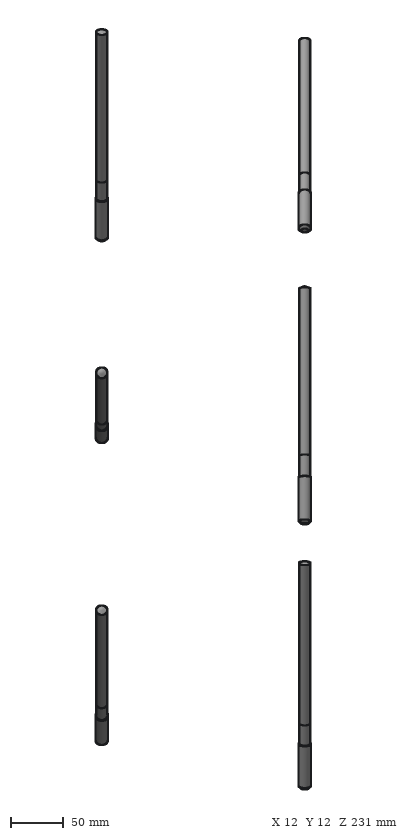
import cadquery as cq

TOTAL_LENGTH = 231.0
SHANK_DIAMETER = 12.0
ROD_DIAMETER = 10.9
SHOULDER_HEIGHT = 45.5
JOINT_HEIGHT = 66.0
END_CHAMFER = 2.8
TIP_HEIGHT = 2.3

shank_radius = SHANK_DIAMETER / 2
rod_radius = ROD_DIAMETER / 2
shoulder_chamfer = shank_radius - rod_radius
end_radius = shank_radius - END_CHAMFER


def revolve_profile(points):
    """Revolve a closed outline of (radius, height) points about Z."""
    return cq.Workplane("XZ").polyline(points).close().revolve(360, (0, 0), (0, 1))


def make_shank():
    """Shank with a tapered lower end and a chamfered shoulder below its neck."""
    return revolve_profile([
        (0, 0),
        (end_radius, 0),
        (shank_radius, END_CHAMFER),
        (shank_radius, SHOULDER_HEIGHT - shoulder_chamfer),
        (rod_radius, SHOULDER_HEIGHT),
        (rod_radius, JOINT_HEIGHT),
        (0, JOINT_HEIGHT),
    ])


def make_rod():
    """Round rod on the neck with a conical tip."""
    return revolve_profile([
        (0, JOINT_HEIGHT),
        (rod_radius, JOINT_HEIGHT),
        (rod_radius, TOTAL_LENGTH - TIP_HEIGHT),
        (0, TOTAL_LENGTH),
    ])


shank = make_shank()
rod = make_rod()

result = cq.Compound.makeCompound([shank.val(), rod.val()])